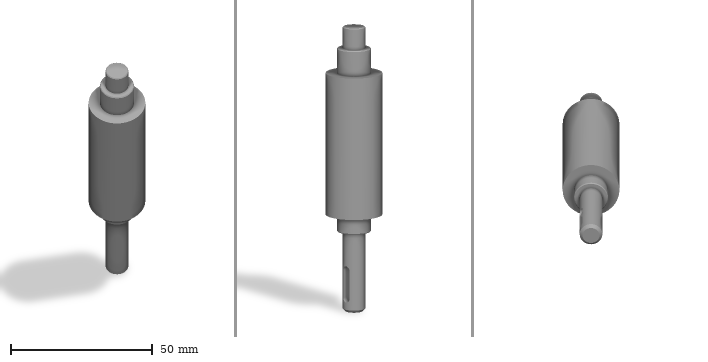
import cadquery as cq

total_length = 102.7
lower_shaft_length = 28.8
lower_collar_length = 6.2
body_length = 51.0
upper_collar_length = 9.0
upper_shaft_length = (
    total_length - lower_shaft_length - lower_collar_length - body_length - upper_collar_length
)

body_diameter = 20.0
collar_diameter = 12.0
shaft_diameter = 8.0

lower_end_chamfer = 1.0
upper_end_chamfer = 0.3
collar_chamfer = 0.3

keyway_width = 3.1
keyway_length = 13.0
keyway_depth = 1.8
keyway_center_z = 10.2


def cylinder(diameter, length, bottom_z):
    """Solid cylinder on the Z axis, standing on bottom_z."""
    return cq.Workplane("XY").workplane(offset=bottom_z).circle(diameter / 2).extrude(length)


def keyway_cutter():
    """Round-ended block reaching from the keyway floor to outside the shaft."""
    floor_y = shaft_diameter / 2 - keyway_depth
    return (
        cq.Workplane("XZ", origin=(0, floor_y, keyway_center_z))
        .slot2D(keyway_length, keyway_width, angle=90)
        .extrude(-2 * keyway_depth)
    )


lower_collar_z = lower_shaft_length
body_z = lower_collar_z + lower_collar_length
upper_collar_z = body_z + body_length
upper_shaft_z = upper_collar_z + upper_collar_length

lower_shaft = cylinder(shaft_diameter, lower_shaft_length, 0).faces("<Z").chamfer(lower_end_chamfer)
lower_collar = cylinder(collar_diameter, lower_collar_length, lower_collar_z)
lower_collar = lower_collar.faces("<Z").chamfer(collar_chamfer)
body = cylinder(body_diameter, body_length, body_z)
upper_collar = cylinder(collar_diameter, upper_collar_length, upper_collar_z)
upper_collar = upper_collar.faces(">Z").chamfer(collar_chamfer)
upper_shaft = cylinder(shaft_diameter, upper_shaft_length, upper_shaft_z)
upper_shaft = upper_shaft.faces(">Z").chamfer(upper_end_chamfer)

result = (
    body.union(lower_collar)
    .union(lower_shaft)
    .union(upper_collar)
    .union(upper_shaft)
    .cut(keyway_cutter())
)